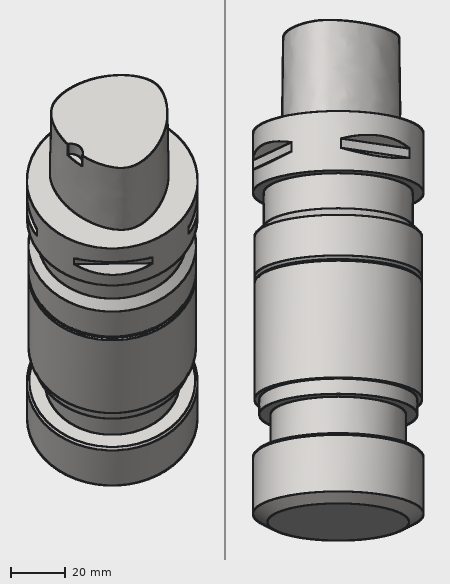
import cadquery as cq
import math

total_height = 186.1
shank_base_z = 148.7
flange_bottom_z = 126.0
body_top_z = 112.5
groove_top_z = 93.6
groove_bottom_z = 91.5
body_bottom_z = 46.9
collar_bottom_z = 41.1
nut_top_z = 25.7

flange_radius = 63.0 / 2
nut_radius = flange_radius
upper_neck_radius = 55.0 / 2
body_radius = 62.0 / 2
groove_radius = 59.7 / 2
collar_radius = 58.5 / 2
lower_neck_radius = 50.0 / 2

nut_top_chamfer = 1.0
nut_bottom_chamfer_width = 5.4
nut_bottom_chamfer_angle = 30.0

shank_base_mean_radius = 22.0
shank_top_mean_radius = 21.5
lobe_height = 1.5
lobe_count = 3
lobe_direction = math.radians(90)
outline_point_count = 48

notch_width = 7.5
notch_depth_z = 6.3
notch_radius = 4.5
notch_inner_y = -17.5

slot_count = 4
slot_first_angle = 45.0
slot_center_z = 136.5
slot_floor_height = 3.5
slot_depth = 3.5
slot_wall_angle = 32.0


def turned_body():
    """Revolve the stepped half profile about the Z axis."""
    nut_chamfer_height = nut_bottom_chamfer_width * math.tan(math.radians(nut_bottom_chamfer_angle))
    shoulder_height = body_radius - upper_neck_radius
    groove_depth = body_radius - groove_radius
    profile = [
        (0, 0),
        (nut_radius - nut_bottom_chamfer_width, 0),
        (nut_radius, nut_chamfer_height),
        (nut_radius, nut_top_z - nut_top_chamfer),
        (nut_radius - nut_top_chamfer, nut_top_z),
        (lower_neck_radius, nut_top_z),
        (lower_neck_radius, collar_bottom_z),
        (collar_radius, collar_bottom_z),
        (collar_radius, body_bottom_z),
        (body_radius, body_bottom_z),
        (body_radius, groove_bottom_z),
        (groove_radius, groove_bottom_z),
        (groove_radius, groove_top_z - groove_depth),
        (body_radius, groove_top_z),
        (body_radius, body_top_z - shoulder_height),
        (upper_neck_radius, body_top_z),
        (upper_neck_radius, flange_bottom_z),
        (flange_radius, flange_bottom_z),
        (flange_radius, shank_base_z),
        (0, shank_base_z),
    ]
    return cq.Workplane("XZ").polyline(profile).close().revolve(360, (0, 0, 0), (0, 1, 0))


def lobed_point(mean_radius, angle):
    """Point of a constant-width lobed curve whose outward normal has the given angle."""
    phase = lobe_count * (angle - lobe_direction)
    support = mean_radius + lobe_height * math.cos(phase)
    support_slope = -lobe_count * lobe_height * math.sin(phase)
    x = support * math.cos(angle) - support_slope * math.sin(angle)
    y = support * math.sin(angle) + support_slope * math.cos(angle)
    return x, y


def lobed_outline(mean_radius):
    """Points evenly spread in normal angle around the lobed curve."""
    step = 2 * math.pi / outline_point_count
    return [lobed_point(mean_radius, index * step) for index in range(outline_point_count)]


def shank():
    """Loft between the lobed outlines at the base and the top of the shank."""
    return (
        cq.Workplane("XY", origin=(0, 0, shank_base_z))
        .spline(lobed_outline(shank_base_mean_radius), periodic=True, makeWire=True)
        .workplane(offset=total_height - shank_base_z)
        .spline(lobed_outline(shank_top_mean_radius), periodic=True, makeWire=True)
        .loft(ruled=True, combine=True)
    )


def notch():
    """Vertical round-bottomed cutter on the -Y side of the shank top."""
    half_width = notch_width / 2
    arc_sag = notch_radius - math.sqrt(notch_radius**2 - half_width**2)
    arc_end_y = notch_inner_y - arc_sag
    outer_y = -(shank_base_mean_radius + lobe_height)
    return (
        cq.Workplane("XY", origin=(0, 0, total_height - notch_depth_z))
        .moveTo(-half_width, outer_y)
        .lineTo(-half_width, arc_end_y)
        .threePointArc((0, notch_inner_y), (half_width, arc_end_y))
        .lineTo(half_width, outer_y)
        .close()
        .extrude(notch_depth_z)
    )


def gripper_slot(angle):
    """Straight flaring slot cut across the flange, turned to the given angle."""
    floor_radius = flange_radius - slot_depth
    half_floor = slot_floor_height / 2
    clearance = 1.9
    half_mouth = half_floor + (slot_depth + clearance) * math.tan(math.radians(slot_wall_angle))
    section = [
        (floor_radius, slot_center_z - half_floor),
        (flange_radius + clearance, slot_center_z - half_mouth),
        (flange_radius + clearance, slot_center_z + half_mouth),
        (floor_radius, slot_center_z + half_floor),
    ]
    cutter = cq.Workplane("XZ").polyline(section).close().extrude(flange_radius, both=True)
    return cutter.rotate((0, 0, 0), (0, 0, 1), angle)


result = turned_body().union(shank()).cut(notch())
for slot_index in range(slot_count):
    slot_angle = slot_first_angle + slot_index * 360 / slot_count
    result = result.cut(gripper_slot(slot_angle))